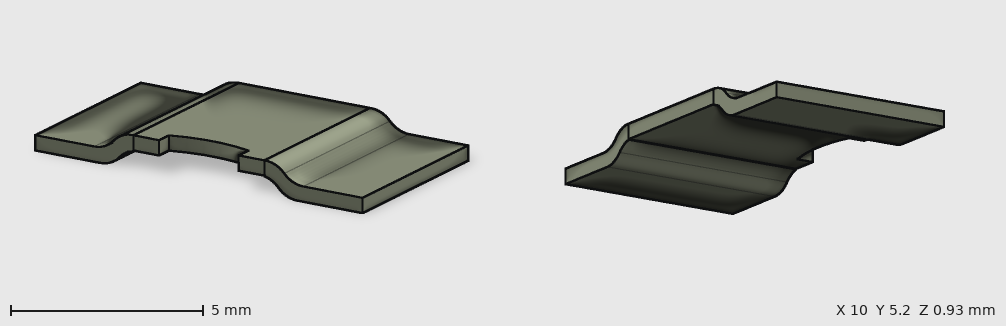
import cadquery as cq
import math

LENGTH = 10.0
WIDTH = 5.2
HEIGHT = 0.93
THICKNESS = 0.42

PLATE_LENGTH = 4.0
NOTCH_LENGTH = 2.43
NOTCH_SIDE_DEPTH = 0.48
NOTCH_CENTRE_DEPTH = 0.66

BEND_TOP_X = 2.03
BEND_FOOT_X = 3.19
UNDERSIDE_SHIFT = 0.18

END_X = LENGTH / 2
PLATE_END_X = PLATE_LENGTH / 2
PLATE_BOTTOM = HEIGHT - THICKNESS
FRONT_Y = -WIDTH / 2

BEND_RUN = BEND_FOOT_X - BEND_TOP_X
BEND_ANGLE = 2 * math.atan(PLATE_BOTTOM / BEND_RUN)
BEND_RADIUS = BEND_RUN / 2 / math.sin(BEND_ANGLE)

UNDERSIDE_FOOT_X = BEND_FOOT_X - UNDERSIDE_SHIFT
UNDERSIDE_TOP_X = BEND_TOP_X - UNDERSIDE_SHIFT
CUT_ANGLE = math.asin((PLATE_END_X - UNDERSIDE_TOP_X) / BEND_RADIUS)


def upper_bend_point(start_x, level_z, angle):
    """Point on the bend that curves down from a level surface at start_x."""
    drop = BEND_RADIUS * (1 - math.cos(angle))
    return (start_x + BEND_RADIUS * math.sin(angle), level_z - drop)


def lower_bend_point(start_x, level_z, angle):
    """Point on the bend that curves up from a level surface at start_x."""
    rise = BEND_RADIUS * (1 - math.cos(angle))
    return (start_x - BEND_RADIUS * math.sin(angle), level_z + rise)


def make_plate():
    """Flat raised plate with an arched notch in its -Y edge."""
    half_notch = NOTCH_LENGTH / 2
    side_y = FRONT_Y + NOTCH_SIDE_DEPTH
    return (
        cq.Workplane("XY", origin=(0, 0, PLATE_BOTTOM))
        .moveTo(-PLATE_END_X, FRONT_Y)
        .lineTo(-half_notch, FRONT_Y)
        .lineTo(-half_notch, side_y)
        .threePointArc((0, FRONT_Y + NOTCH_CENTRE_DEPTH), (half_notch, side_y))
        .lineTo(half_notch, FRONT_Y)
        .lineTo(PLATE_END_X, FRONT_Y)
        .lineTo(PLATE_END_X, -FRONT_Y)
        .lineTo(-PLATE_END_X, -FRONT_Y)
        .close()
        .extrude(THICKNESS)
    )


def make_foot():
    """Foot on the +X end: a flat strip with a double bend up to the plate."""
    half_angle = BEND_ANGLE / 2
    cut_half_angle = (BEND_ANGLE + CUT_ANGLE) / 2
    return (
        cq.Workplane("XZ")
        .moveTo(PLATE_END_X, HEIGHT)
        .lineTo(BEND_TOP_X, HEIGHT)
        .threePointArc(
            upper_bend_point(BEND_TOP_X, HEIGHT, half_angle),
            upper_bend_point(BEND_TOP_X, HEIGHT, BEND_ANGLE),
        )
        .threePointArc(
            lower_bend_point(BEND_FOOT_X, THICKNESS, half_angle),
            (BEND_FOOT_X, THICKNESS),
        )
        .lineTo(END_X, THICKNESS)
        .lineTo(END_X, 0)
        .lineTo(UNDERSIDE_FOOT_X, 0)
        .threePointArc(
            lower_bend_point(UNDERSIDE_FOOT_X, 0, half_angle),
            lower_bend_point(UNDERSIDE_FOOT_X, 0, BEND_ANGLE),
        )
        .threePointArc(
            upper_bend_point(UNDERSIDE_TOP_X, PLATE_BOTTOM, cut_half_angle),
            upper_bend_point(UNDERSIDE_TOP_X, PLATE_BOTTOM, CUT_ANGLE),
        )
        .close()
        .extrude(WIDTH / 2, both=True)
    )


plate = make_plate()

feet = []
for turn in (0, 180):
    foot = make_foot().rotate((0, 0, 0), (0, 0, 1), turn)
    feet.append(foot.val())

result = cq.Compound.makeCompound([plate.val(), *feet])